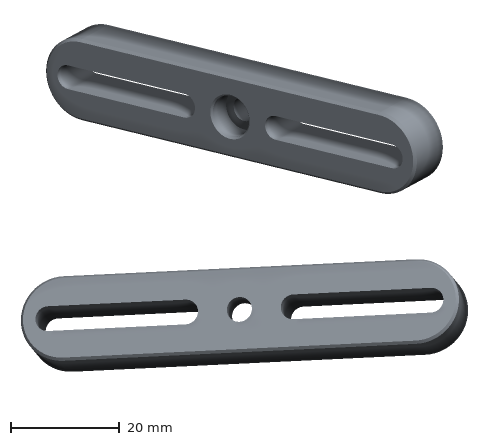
import cadquery as cq

bar_length = 82.0
bar_height = 16.0
bar_thickness = 9.5
rim_chamfer = 0.5

slot_length = 30.4
slot_width = 4.7
slot_offset = 23.0

hole_diameter = 4.7
counterbore_diameter = 8.0
counterbore_depth = 4.7
counterbore_chamfer = 0.3

front_y = -bar_thickness / 2


def make_bar():
    """Round-ended bar with both of its rims chamfered."""
    bar = (
        cq.Workplane("XZ")
        .slot2D(bar_length, bar_height)
        .extrude(bar_thickness / 2, both=True)
    )
    return bar.faces("<Y or >Y").chamfer(rim_chamfer)


def make_slots():
    """Through-cutters for the pair of slots."""
    return (
        cq.Workplane("XZ")
        .pushPoints([(-slot_offset, 0), (slot_offset, 0)])
        .slot2D(slot_length, slot_width)
        .extrude(bar_thickness, both=True)
    )


def make_screw_hole():
    """Stepped cutter revolved about the Y axis: mouth chamfer, counterbore and through hole."""
    hole_radius = hole_diameter / 2
    counterbore_radius = counterbore_diameter / 2
    floor_y = front_y + counterbore_depth
    return (
        cq.Workplane("XY")
        .moveTo(0, front_y)
        .lineTo(counterbore_radius + counterbore_chamfer, front_y)
        .lineTo(counterbore_radius, front_y + counterbore_chamfer)
        .lineTo(counterbore_radius, floor_y)
        .lineTo(hole_radius, floor_y)
        .lineTo(hole_radius, -front_y)
        .lineTo(0, -front_y)
        .close()
        .revolve(360, (0, 0), (0, 1))
    )


result = make_bar().cut(make_slots()).cut(make_screw_hole())